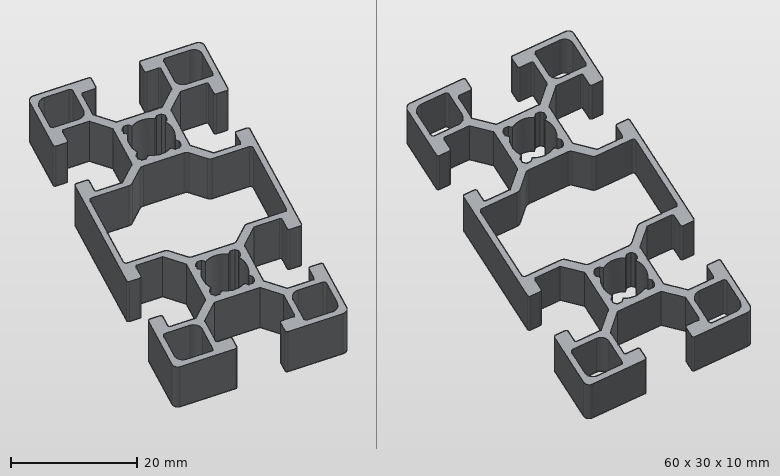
import cadquery as cq

length = 60.0
module = length / 2
height = 10.0
outer_radius = 1.0
half_module = module / 2

slot_opening = 8.3
slot_width = 13.55
lip_thickness = 2.45
slot_depth = 10.0
slot_floor_width = 7.85
lip_radius = 0.35
slot_corner_radius = 0.3
slot_side_depth = slot_depth - (slot_width - slot_floor_width) / 2

skin = 1.0
web = 1.0

chamber_size = half_module - slot_width / 2 - web - skin
chamber_outer_radius = 1.5
chamber_inner_radius = 1.5
chamber_corner_radius = 0.5

center_half_width = half_module - slot_width / 2 - web
center_half_height = half_module - skin
center_neck_half_width = slot_depth
center_corner_radius = 0.5
center_taper_radius = 1.0

bore_radius = 3.8
groove_reach = 3.7
groove_side_offset = 1.25
groove_chamfer = 0.5

tolerance = 0.005


def prism(points):
    return cq.Workplane("XY").polyline(points).close().extrude(height)


def fillet_upright(body, radius, is_wanted):
    """Round the upright edges of the body whose centre passes the test."""
    edges = body.edges("|Z").filter(lambda edge: is_wanted(edge.Center()))
    return body.newObject(edges.vals()).fillet(radius)


def same(a, b):
    return abs(a - b) < tolerance


def slot_cutter():
    """T-slot opening toward +Y, for a module centred on the origin."""
    opening = slot_opening / 2
    side = slot_width / 2
    floor = slot_floor_width / 2
    face_y = half_module
    lip_y = face_y - lip_thickness
    side_y = face_y - slot_side_depth
    floor_y = face_y - slot_depth
    cutter = prism([
        (-opening, face_y), (-opening, lip_y), (-side, lip_y), (-side, side_y), (-floor, floor_y),
        (floor, floor_y), (side, side_y), (side, lip_y), (opening, lip_y), (opening, face_y),
    ])
    cutter = fillet_upright(cutter, slot_corner_radius, lambda p: same(p.y, lip_y) and same(abs(p.x), side))
    return fillet_upright(cutter, lip_radius, lambda p: same(p.y, lip_y) and same(abs(p.x), opening))


def corner_chamber():
    """Chamber in the +X +Y corner of a module centred on the origin."""
    center = half_module - skin - chamber_size / 2
    chamber = cq.Workplane("XY").center(center, center).rect(chamber_size, chamber_size).extrude(height)
    chamber = chamber.edges("|Z and >(1,1,0)").fillet(chamber_outer_radius)
    chamber = chamber.edges("|Z and <(1,1,0)").fillet(chamber_inner_radius)
    return chamber.edges("|Z and (<(1,-1,0) or >(1,-1,0))").fillet(chamber_corner_radius)


def center_chamber():
    """Chamber between the cores: a wide neck tapering at 45 degrees into the tall middle."""
    side = center_half_width
    neck = center_neck_half_width
    top = center_half_height
    neck_top = slot_floor_width / 2
    taper_top = neck_top + neck - side
    chamber = prism([
        (-side, top), (-side, taper_top), (-neck, neck_top),
        (-neck, -neck_top), (-side, -taper_top), (-side, -top),
        (side, -top), (side, -taper_top), (neck, -neck_top),
        (neck, neck_top), (side, taper_top), (side, top),
    ])
    chamber = chamber.faces(">Y or <Y").edges("|Z").fillet(center_corner_radius)
    return fillet_upright(chamber, center_taper_radius, lambda p: abs(p.y) < taper_top + tolerance)


def turned(cutter, angle):
    return cutter.rotate((0, 0, 0), (0, 0, 1), angle)


def core_bore():
    """Round bore with a diagonal groove, blunt at its end, towards each corner of the core."""
    reach = groove_reach
    blunt = reach - groove_chamfer
    side = reach - groove_side_offset
    groove = prism([
        (0, 0), (0, groove_side_offset), (side, reach), (blunt, reach),
        (reach, blunt), (reach, side), (groove_side_offset, 0),
    ])
    bore = cq.Workplane("XY").circle(bore_radius).extrude(height)
    for angle in (0, 90, 180, 270):
        bore = bore.union(turned(groove, angle))
    return bore


def outer_face_count(point):
    """Side faces of the body that the point lies on: 2 at a body corner, 1 at a slot mouth."""
    return same(abs(point.x), length / 2) + same(abs(point.y), half_module)


result = cq.Workplane("XY").box(length, module, height, centered=(True, True, False))

for center_x, slot_angles, chamber_angles in (
    (-half_module, (0, 90, 180), (90, 180)),
    (half_module, (0, -90, 180), (0, -90)),
):
    cutters = [turned(slot_cutter(), angle) for angle in slot_angles]
    cutters += [turned(corner_chamber(), angle) for angle in chamber_angles]
    cutters.append(core_bore())
    for cutter in cutters:
        result = result.cut(cutter.translate((center_x, 0, 0)))

result = result.cut(center_chamber())

result = fillet_upright(result, outer_radius, lambda p: outer_face_count(p) == 2)
result = fillet_upright(result, lip_radius, lambda p: outer_face_count(p) == 1)